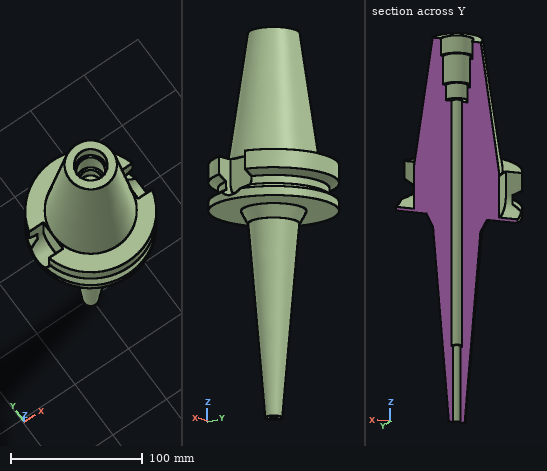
import cadquery as cq

total_height = 301.8
taper_length = 101.7
gauge_to_flange_top = 1.8
gauge_to_flange_bottom = 38.0
gauge_z = total_height - taper_length
flange_top_z = gauge_z - gauge_to_flange_top
flange_bottom_z = gauge_z - gauge_to_flange_bottom
neck_height = 10.0
neck_bottom_z = flange_bottom_z - neck_height

flange_diameter = 100.0
flange_radius = flange_diameter / 2
taper_top_radius = 20.0
gauge_radius = 35.0
neck_top_radius = 25.0
nose_top_radius = 19.5
nose_tip_radius = 6.5

groove_floor_radius = 42.5
groove_middle_z = 176.5
groove_floor_width = 6.3
groove_mouth_width = 14.8

slot_width = 26.0
slot_floor_x = 35.0
slot_bottom_z = gauge_z - 34.7

mouth_radius = 12.7
mouth_depth = 13.5
thread_radius = 11.0
thread_depth = 36.2
relief_radius = 8.8
relief_depth = 48.3
coolant_radius = 4.2
coolant_depth = 241.5
tip_hole_radius = 3.0


def make_body():
    """Revolve the taper, flange with its V groove, flared neck and nose."""
    groove_mouth_half = groove_mouth_width / 2
    groove_floor_half = groove_floor_width / 2
    profile = (
        cq.Workplane("XZ")
        .moveTo(0, 0)
        .lineTo(nose_tip_radius, 0)
        .lineTo(nose_top_radius, neck_bottom_z)
        .lineTo(neck_top_radius, flange_bottom_z)
        .lineTo(flange_radius, flange_bottom_z)
        .lineTo(flange_radius, groove_middle_z - groove_mouth_half)
        .lineTo(groove_floor_radius, groove_middle_z - groove_floor_half)
        .lineTo(groove_floor_radius, groove_middle_z + groove_floor_half)
        .lineTo(flange_radius, groove_middle_z + groove_mouth_half)
        .lineTo(flange_radius, flange_top_z)
        .lineTo(gauge_radius, flange_top_z)
        .lineTo(gauge_radius, gauge_z)
        .lineTo(taper_top_radius, total_height)
        .lineTo(0, total_height)
        .close()
    )
    return profile.revolve(360, (0, 0, 0), (0, 1, 0))


def make_slot_cutter(side):
    """Round-bottomed slot, open at the flange top; side is +1 or -1 along X."""
    slot_half = slot_width / 2
    arc_center_z = slot_bottom_z + slot_half
    return (
        cq.Workplane("YZ", origin=(side * slot_floor_x, 0, 0))
        .moveTo(-slot_half, flange_top_z)
        .lineTo(-slot_half, arc_center_z)
        .threePointArc((0, slot_bottom_z), (slot_half, arc_center_z))
        .lineTo(slot_half, flange_top_z)
        .close()
        .extrude(side * (flange_radius - slot_floor_x))
    )


def make_bore_step(radius, depth):
    """Cylinder reaching down from the top face."""
    return cq.Workplane("XY", origin=(0, 0, total_height - depth)).circle(radius).extrude(depth)


result = make_body()

for side in (-1, 1):
    result = result.cut(make_slot_cutter(side))

bore_steps = (
    (mouth_radius, mouth_depth),
    (thread_radius, thread_depth),
    (relief_radius, relief_depth),
    (coolant_radius, coolant_depth),
    (tip_hole_radius, total_height),
)
for radius, depth in bore_steps:
    result = result.cut(make_bore_step(radius, depth))